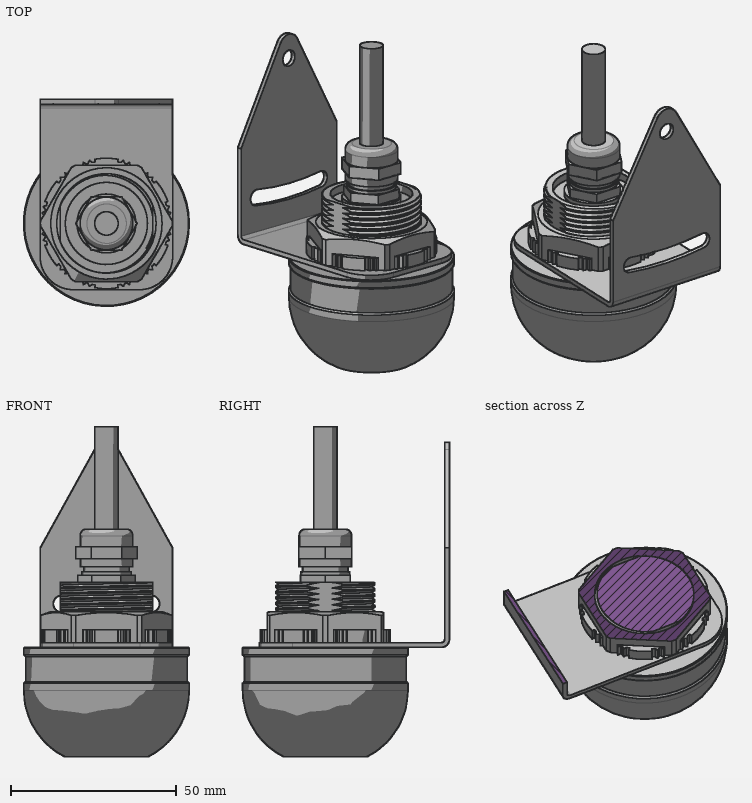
import cadquery as cq
import math

OVERSHOOT = 1.0

body_radius = 25.015
dome_flat_radius = 12.5
dome_height = 20.2
lower_band_top = 22.2
waist_depth = 0.55
flange_bottom = 30.85
flange_top = 33.05
flange_edge_chamfer = 0.25

stud_radius = 15.0
stud_top = 52.8
stud_flat_offset = 14.0
recess_radius = 12.4
recess_depth = 2.4

thread_pitch = 1.69
thread_depth = 0.85
thread_crest = 0.4
groove_clearance = 0.15
thread_runout = 1.2

sheet = 1.5
bracket_half_width = 20.0
overall_depth = 62.5
bracket_back = overall_depth - body_radius
bracket_corner_radius = 10.0
bend_inner_radius = 1.0
bracket_height = 95.0
shoulder_height = 63.1
tip_radius = 4.0
pivot_hole_diameter = 5.0
pivot_height = 87.4
slot_width = 5.0
slot_end_x = 13.5
slot_end_height = 46.2
slot_radius = 95.0

nut_top = 43.85
nut_across_flats = 35.2
nut_corner_radius = 19.9
nut_chamfer_radius = 16.8
nut_chamfer_angle = 20.0
serration_height = 3.9
serration_radius = 19.7
serration_root_radius = 18.9
lobe_half_angle = 10.3
teeth = ((13.3, 15.0, 17.3), (18.8, 20.6, 22.4))

gland_base_radius = 8.9
gland_base_height = 1.5
gland_hex_across_flats = 15.1
gland_hex_top = 54.9
gland_collar_radius = 7.45
gland_collar_top = 55.9
gland_neck_radius = 6.9

cap_bottom = 57.4
cap_top = 68.8
cap_radius = 7.95
cap_edge_radius = 2.0
cap_hex_across_flats = 16.05
cap_hex_bottom = 59.8
cap_hex_top = 63.4

cable_radius = 3.55
cable_top = 99.73

bracket_top = flange_top + sheet
recess_floor = stud_top - recess_depth


def cylinder(radius, bottom, top):
    return cq.Workplane("XY").workplane(offset=bottom).circle(radius).extrude(top - bottom)


def hexagon(across_flats, bottom, top):
    """Hexagonal prism with corners on the X axis and flats facing +Y and -Y."""
    across_corners = across_flats / math.cos(math.radians(30))
    return cq.Workplane("XY").workplane(offset=bottom).polygon(6, across_corners).extrude(top - bottom)


def flatten_sides(stud):
    """Mill the flats facing +X and -X on a round stud."""
    return stud.intersect(cq.Workplane("XY").box(2 * stud_flat_offset, 4 * stud_radius, 4 * stud_top))


def thread_groove():
    """Right-hand helical V groove that runs out through the top of the stud."""
    start = bracket_top + thread_runout
    length = stud_top + thread_pitch - start
    half_mouth = (thread_pitch - thread_crest) / 2
    half_outer = half_mouth * (thread_depth + groove_clearance) / thread_depth
    root_radius = stud_radius - thread_depth
    outer_radius = stud_radius + groove_clearance
    helix = cq.Wire.makeHelix(thread_pitch, length, stud_radius, center=cq.Vector(0, 0, start))
    profile = cq.Workplane("XZ").polyline(
        [
            (root_radius, start),
            (outer_radius, start + half_outer),
            (outer_radius, start - half_outer),
        ]
    ).close()
    return profile.sweep(cq.Workplane(obj=helix), isFrenet=True)


def make_housing():
    waist_radius = body_radius - waist_depth
    dome_inset = body_radius - dome_flat_radius
    dome_radius = (dome_height**2 + dome_inset**2) / (2 * dome_inset)
    sweep = math.asin(dome_height / dome_radius)
    dome_center_r = body_radius - dome_radius
    dome_middle = (
        dome_center_r + dome_radius * math.cos(sweep / 2),
        dome_height - dome_radius * math.sin(sweep / 2),
    )
    body = (
        cq.Workplane("XZ")
        .lineTo(dome_flat_radius, 0)
        .threePointArc(dome_middle, (body_radius, dome_height))
        .lineTo(body_radius, lower_band_top)
        .lineTo(waist_radius, lower_band_top + waist_depth)
        .lineTo(waist_radius, flange_bottom - waist_depth)
        .lineTo(body_radius, flange_bottom)
        .lineTo(body_radius, flange_top - flange_edge_chamfer)
        .lineTo(body_radius - flange_edge_chamfer, flange_top)
        .lineTo(0, flange_top)
        .close()
        .revolve(360, (0, 0, 0), (0, 1, 0))
    )
    stud = flatten_sides(cylinder(stud_radius, flange_top, stud_top).cut(thread_groove()))
    recess = cylinder(recess_radius, recess_floor, stud_top + OVERSHOOT)
    return body.union(stud).cut(recess)


def make_bracket():
    bend_outer_radius = bend_inner_radius + sheet
    sheet_profile = (
        cq.Workplane("YZ")
        .moveTo(-bracket_half_width, flange_top)
        .lineTo(bracket_back - bend_outer_radius, flange_top)
        .radiusArc((bracket_back, flange_top + bend_outer_radius), -bend_outer_radius)
        .lineTo(bracket_back, bracket_height)
        .lineTo(bracket_back - sheet, bracket_height)
        .lineTo(bracket_back - sheet, flange_top + bend_outer_radius)
        .radiusArc((bracket_back - bend_outer_radius, bracket_top), bend_inner_radius)
        .lineTo(-bracket_half_width, bracket_top)
        .close()
    )
    bracket = sheet_profile.extrude(bracket_half_width, both=True)
    bracket = bracket.edges("|Z and <Y").fillet(bracket_corner_radius)

    tip_center = bracket_height - tip_radius
    rise = tip_center - shoulder_height
    reach = math.hypot(bracket_half_width, rise)
    tangent_angle = math.acos(tip_radius / reach) - math.atan2(rise, bracket_half_width)
    tangent_x = tip_radius * math.cos(tangent_angle)
    tangent_z = tip_center + tip_radius * math.sin(tangent_angle)
    outline = (
        cq.Workplane("XZ")
        .moveTo(-bracket_half_width, flange_top)
        .lineTo(bracket_half_width, flange_top)
        .lineTo(bracket_half_width, shoulder_height)
        .lineTo(tangent_x, tangent_z)
        .threePointArc((0, bracket_height), (-tangent_x, tangent_z))
        .lineTo(-bracket_half_width, shoulder_height)
        .close()
        .extrude(2 * bracket_back, both=True)
    )
    bracket = bracket.intersect(outline)

    upright = cq.Workplane("XZ", origin=(0, bracket_back + OVERSHOOT, 0))
    cut_depth = sheet + 2 * OVERSHOOT
    hole = upright.center(0, pivot_height).circle(pivot_hole_diameter / 2).extrude(cut_depth)
    slot_drop = math.sqrt(slot_radius**2 - slot_end_x**2)
    slot_center = slot_end_height + slot_drop

    def slot_point(side, radius):
        scale = radius / slot_radius
        return (side * slot_end_x * scale, slot_center - slot_drop * scale)

    inner = slot_radius - slot_width / 2
    outer = slot_radius + slot_width / 2
    slot = (
        upright.moveTo(*slot_point(-1, inner))
        .threePointArc((0, slot_center - inner), slot_point(1, inner))
        .radiusArc(slot_point(1, outer), slot_width / 2)
        .threePointArc((0, slot_center - outer), slot_point(-1, outer))
        .radiusArc(slot_point(-1, inner), slot_width / 2)
        .close()
        .extrude(cut_depth)
    )
    stud_hole = flatten_sides(cylinder(stud_radius, flange_top - OVERSHOOT, bracket_top + OVERSHOOT))
    return bracket.cut(hole).cut(slot).cut(stud_hole)


def polar(radius, angle):
    return (radius * math.cos(math.radians(angle)), radius * math.sin(math.radians(angle)))


def make_serrations():
    """Disc whose rim carries, at each flat, a smooth lobe with two teeth on either side."""
    serrations = cylinder(serration_root_radius, bracket_top, bracket_top + serration_height)
    base = cq.Workplane("XY").workplane(offset=bracket_top)
    for flat_angle in range(30, 390, 60):
        lobe = (
            base.lineTo(*polar(serration_radius, flat_angle - lobe_half_angle))
            .threePointArc(
                polar(serration_radius, flat_angle),
                polar(serration_radius, flat_angle + lobe_half_angle),
            )
            .close()
            .extrude(serration_height)
        )
        serrations = serrations.union(lobe)
        for side in (-1, 1):
            for start, peak, end in teeth:
                tooth = base.polyline(
                    [
                        (0, 0),
                        polar(serration_root_radius, flat_angle + side * start),
                        polar(serration_radius, flat_angle + side * peak),
                        polar(serration_root_radius, flat_angle + side * end),
                    ]
                ).close()
                serrations = serrations.union(tooth.extrude(serration_height))
    return serrations


def make_locknut():
    chamfer_drop = (nut_corner_radius - nut_chamfer_radius) * math.tan(math.radians(nut_chamfer_angle))
    turned_blank = (
        cq.Workplane("XZ")
        .moveTo(0, bracket_top)
        .lineTo(nut_corner_radius, bracket_top)
        .lineTo(nut_corner_radius, nut_top - chamfer_drop)
        .lineTo(nut_chamfer_radius, nut_top)
        .lineTo(0, nut_top)
        .close()
        .revolve(360, (0, 0, 0), (0, 1, 0))
    )
    nut = hexagon(nut_across_flats, bracket_top, nut_top).intersect(turned_blank)
    return nut.union(make_serrations()).cut(cylinder(stud_radius, bracket_top, nut_top))


def make_cable():
    return cylinder(cable_radius, recess_floor, cable_top)


def make_gland_body():
    hex_bottom = recess_floor + gland_base_height
    gland = cylinder(gland_base_radius, recess_floor, hex_bottom)
    gland = gland.union(hexagon(gland_hex_across_flats, hex_bottom, gland_hex_top))
    gland = gland.union(cylinder(gland_collar_radius, gland_hex_top, gland_collar_top))
    gland = gland.union(cylinder(gland_neck_radius, gland_collar_top, cap_hex_top))
    return gland.cut(make_cable())


def make_gland_cap():
    cap = cylinder(cap_radius, cap_bottom, cap_top).faces(">Z").edges().fillet(cap_edge_radius)
    cap = cap.union(hexagon(cap_hex_across_flats, cap_hex_bottom, cap_hex_top))
    socket = cylinder(gland_neck_radius, cap_bottom, cap_hex_top)
    return cap.cut(socket).cut(make_cable())


housing = make_housing()
bracket = make_bracket()
locknut = make_locknut()
gland_body = make_gland_body()
gland_cap = make_gland_cap()
cable = make_cable()

result = cq.Compound.makeCompound(
    [
        housing.val(),
        bracket.val(),
        locknut.val(),
        gland_body.val(),
        gland_cap.val(),
        cable.val(),
    ]
)